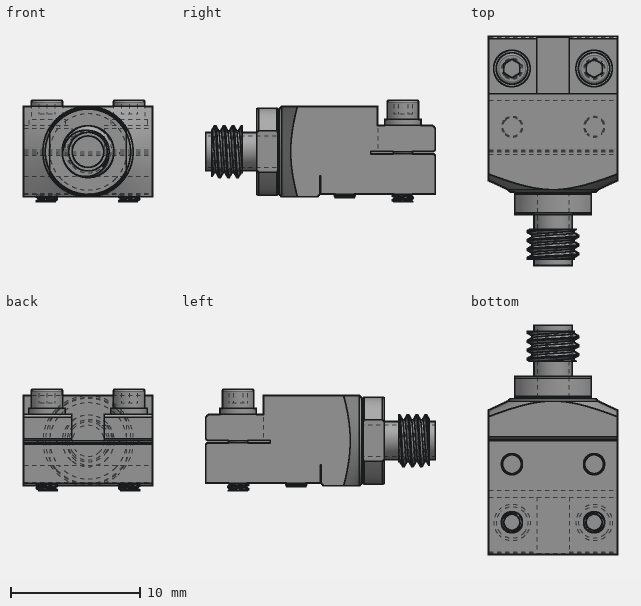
import cadquery as cq
import math


length = 17.78
width = 10.01
body_height = 7.0
body_half = body_height / 2
cone_front_y = 5.89
cone_angle = 25
nose_chamfer = 0.2
nose_y = cone_front_y - nose_chamfer
heel_y = 8.84
heel_chamfer = 0.2

arm_top = 2.05
arm_length = 4.46
arm_top_chamfer = 0.21
arm_bottom_chamfer = 0.15
channel_width = 2.5

slot_bottom = 0.0
slot_height = 0.18
slot_depth = 4.98
jaw_top = slot_bottom - slot_height
jaw_bottom = -3.29
jaw_step_z = -1.9
jaw_gap = 0.07
jaw_top_chamfer = 0.1
jaw_end_chamfer = 0.05

neck_diameter = 5.94
nut_diameter = 6.75
nut_flats = 5.94
nut_back_y = 5.58
nut_front_y = 3.95
nut_chamfer_depth = 0.07
nut_front_chamfer_length = 0.16
shaft_diameter = 2.99
bore_diameter = 2.44
stud_thread_back_y = 2.81
stud_thread_front_y = 0.48
stud_thread_diameter = 4.02
stud_root_diameter = 3.27
stud_pitch = 0.7
stud_crest = 0.09
stud_thread_base = 0.52

screw_x = 3.18
screw_y = length - 2.5
washer_diameter = 2.83
washer_height = 0.46
head_diameter = 2.44
head_height = 1.5
head_fillet = 0.18
hex_flats = 1.25
hex_depth = 1.07
shank_diameter = 1.51
screw_end = -3.88
screw_thread_diameter = 1.64
screw_root_diameter = 1.28
screw_pitch = 0.35
screw_crest = 0.045
screw_thread_base = 0.28
screw_crest_angle = 30

set_screw_y = length - 7.0
set_screw_end = -3.55
set_screw_end_diameter = 1.45
set_screw_top_diameter = 1.51
set_screw_ridge_z = -3.4


def cylinder(diameter, start, end):
    """Cylinder on the Z axis between two heights."""
    return cq.Workplane("XY").workplane(offset=start).circle(diameter / 2).extrude(end - start)


def stud_cylinder(diameter, back_y, front_y):
    """Cylinder on the stud axis between two Y positions."""
    return cylinder(diameter, -back_y, -front_y).rotate((0, 0, 0), (1, 0, 0), 90)


def side_profile(points):
    """Full-width block from an outline of (Y, Z) points."""
    return cq.Workplane("YZ").polyline(points).close().extrude(width / 2, both=True)


def thread(outer, root, pitch, thread_length, crest, base):
    """Right-hand thread on Z from 0 to thread_length, its crest at +X on Z = 0."""
    overlap = 0.02
    inner = root / 2 - overlap
    flank_slope = (base - crest) / (outer - root)
    inner_base = base + 2 * overlap * flank_slope
    path = cq.Wire.makeHelix(pitch, thread_length + 2 * pitch, inner)
    ridge = (
        cq.Workplane("XZ")
        .polyline([
            (inner, -inner_base / 2),
            (outer / 2, -crest / 2),
            (outer / 2, crest / 2),
            (inner, inner_base / 2),
        ])
        .close()
        .sweep(cq.Workplane(path), isFrenet=True)
        .translate((0, 0, -pitch))
    )
    trim = cylinder(2 * outer, 0, thread_length)
    return cylinder(root, 0, thread_length).union(ridge.intersect(trim))


def make_body():
    arm_y = length - arm_length
    slot_y = length - slot_depth
    body = side_profile([
        (nose_y, -body_half),
        (nose_y, body_half),
        (arm_y, body_half),
        (arm_y, arm_top),
        (length - arm_top_chamfer, arm_top),
        (length, arm_top - arm_top_chamfer),
        (length, slot_bottom + arm_bottom_chamfer),
        (length - arm_bottom_chamfer, slot_bottom),
        (slot_y, slot_bottom),
        (slot_y, jaw_step_z),
        (heel_y, jaw_step_z),
        (heel_y, heel_chamfer - body_half),
        (heel_y - heel_chamfer, -body_half),
    ])
    channel = cq.Workplane("XY").box(
        channel_width, arm_length, arm_top - slot_bottom, centered=(True, False, False)
    ).translate((0, arm_y, slot_bottom))
    return body.cut(channel).intersect(make_nose_envelope())


def make_nose_envelope():
    """Solid of revolution that shapes the nose into a cone with a chamfered front disc."""
    outer_radius = math.hypot(width, body_height)
    cone_back_y = cone_front_y + (outer_radius - body_half) * math.tan(math.radians(cone_angle))
    return (
        cq.Workplane("XY")
        .polyline([
            (0, nose_y),
            (body_half - nose_chamfer, nose_y),
            (body_half, cone_front_y),
            (outer_radius, cone_back_y),
            (outer_radius, length),
            (0, length),
        ])
        .close()
        .revolve(360, (0, 0, 0), (0, 1, 0))
    )


def make_jaw():
    slot_y = length - slot_depth
    jaw_front_y = heel_y + jaw_gap
    return side_profile([
        (length, jaw_bottom),
        (length, jaw_top - jaw_top_chamfer),
        (length - jaw_top_chamfer, jaw_top),
        (slot_y, jaw_top),
        (slot_y, jaw_step_z),
        (jaw_front_y, jaw_step_z),
        (jaw_front_y, jaw_bottom + jaw_end_chamfer),
        (jaw_front_y + jaw_end_chamfer, jaw_bottom),
    ])


def make_nut():
    radius = nut_diameter / 2
    nut = (
        cq.Workplane("XY")
        .polyline([
            (0, nut_back_y),
            (radius - nut_chamfer_depth, nut_back_y),
            (radius, nut_back_y - nut_chamfer_depth),
            (radius, nut_front_y + nut_front_chamfer_length),
            (radius - nut_chamfer_depth, nut_front_y),
            (0, nut_front_y),
        ])
        .close()
        .revolve(360, (0, 0, 0), (0, 1, 0))
    )
    return nut.intersect(cq.Workplane("XY").box(nut_flats, length, nut_diameter))


def make_stud():
    thread_length = stud_thread_back_y - stud_thread_front_y
    stud_thread = (
        thread(stud_thread_diameter, stud_root_diameter, stud_pitch,
               thread_length, stud_crest, stud_thread_base)
        .rotate((0, 0, 0), (0, 0, 1), 90)
        .rotate((0, 0, 0), (1, 0, 0), 90)
        .translate((0, stud_thread_back_y, 0))
    )
    return (
        stud_cylinder(neck_diameter, nose_y, nut_back_y)
        .union(make_nut())
        .union(stud_cylinder(shaft_diameter, nut_front_y, 0))
        .union(stud_thread)
        .cut(stud_cylinder(bore_diameter, nose_y, 0))
    )


def make_clamp_screw():
    head_bottom = arm_top + washer_height
    head_top = head_bottom + head_height
    head = cylinder(head_diameter, head_bottom, head_top).faces(">Z").edges().fillet(head_fillet)
    hex_corners = hex_flats / math.cos(math.radians(30))
    socket = (
        cq.Workplane("XY")
        .workplane(offset=head_top - hex_depth)
        .polygon(6, hex_corners)
        .extrude(hex_depth)
        .rotate((0, 0, 0), (0, 0, 1), 30)
    )
    thread_top = jaw_bottom + screw_pitch
    tip_thread = (
        thread(screw_thread_diameter, screw_root_diameter, screw_pitch,
               thread_top - screw_end, screw_crest, screw_thread_base)
        .rotate((0, 0, 0), (1, 0, 0), 180)
        .rotate((0, 0, 0), (0, 0, 1), screw_crest_angle)
        .translate((0, 0, thread_top))
    )
    return (
        cylinder(washer_diameter, arm_top, head_bottom)
        .union(head)
        .cut(socket)
        .union(cylinder(shank_diameter, jaw_top, slot_bottom))
        .union(tip_thread)
    )


def make_set_screw():
    """Exposed tip of a set screw with one thread ridge."""
    return (
        cq.Workplane("XZ")
        .polyline([
            (0, jaw_bottom),
            (set_screw_top_diameter / 2, jaw_bottom),
            (screw_thread_diameter / 2, set_screw_ridge_z),
            (set_screw_end_diameter / 2, set_screw_end),
            (0, set_screw_end),
        ])
        .close()
        .revolve(360, (0, 0, 0), (0, 1, 0))
    )


result = make_body().union(make_jaw()).union(make_stud())
clamp_screw = make_clamp_screw()
set_screw = make_set_screw()
for x in (-screw_x, screw_x):
    result = result.union(clamp_screw.translate((x, screw_y, 0)))
    result = result.union(set_screw.translate((x, set_screw_y, 0)))